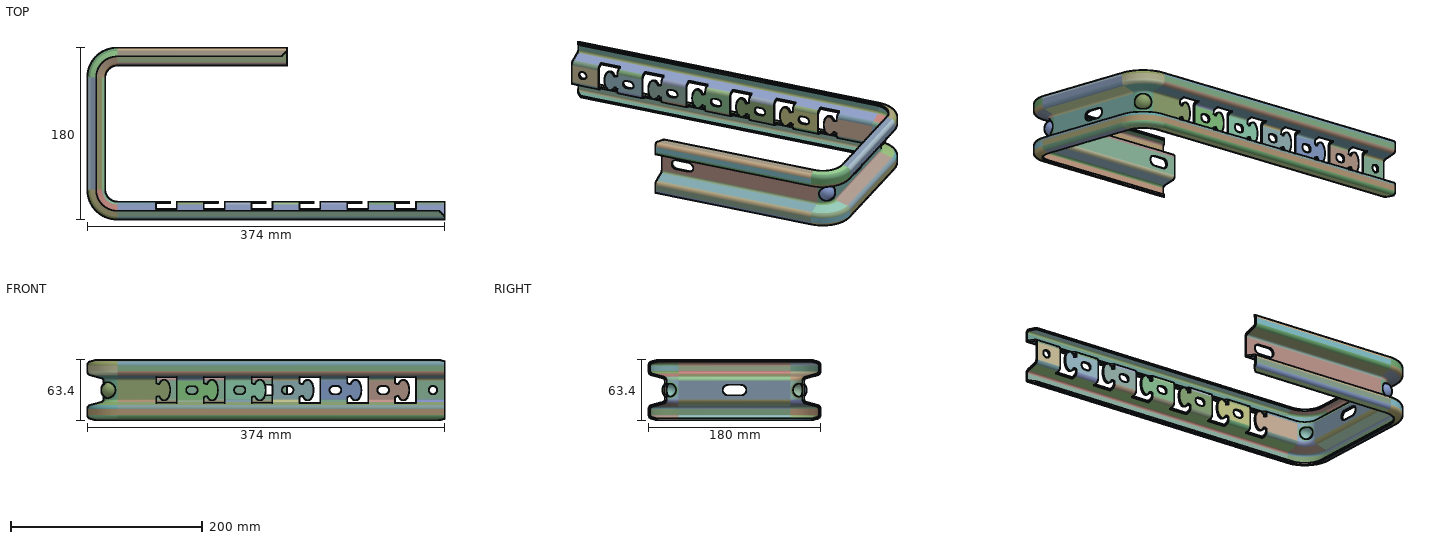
import cadquery as cq
import math

LONG_ARM = 374.0
SHORT_ARM = 209.0
WIDTH = 180.0
HEIGHT = 63.43

SHEET = 2.0
DEPTH = 19.0
INNER_BEND = 2.5
SLOPE = math.radians(15)
LIP_DEPTH = 9.3
FLANK_ROOT_Z = 16.3
LIP_END_BEVEL = 6.0
CROWN_MIDDLE_Z = 23.0

INNER_CORNER = 12.5
OUTER_CORNER = INNER_CORNER + DEPTH

PITCH = 50.0
WINDOW_COUNT = 6
WINDOW_START = 72.0
WINDOW_LENGTH = 21.6
WINDOW_HEIGHT = 36.0
WINDOW_DEPTH = 7.6
TAB_ROOT_HALF = 7.4
TAB_NECK_HALF = 6.3
TAB_NECK_LENGTH = 2.3
TAB_HEAD_CENTRE = 8.5
TAB_HEAD_LENGTH = 12.6
TAB_HEAD_HEIGHT = 21.7

SMALL_SLOT_LENGTH = 12.0
SMALL_SLOT_HEIGHT = 8.5
SMALL_SLOT_SETBACK = 12.5
END_HOLE_SETBACK = 12.5
BIG_SLOT_LENGTH = 24.5
BIG_SLOT_HEIGHT = 10.7
BIG_SLOT_SETBACK = 23.8

DOME_RADIUS = 8.9
DOME_CENTRE = 11.5

CUT = 2 * DEPTH


def corner_shift(before, after, point, offset):
    """Point moved so that both neighbouring edges are offset to their left."""
    normals = []
    for start, end in ((before, point), (point, after)):
        dx = end[0] - start[0]
        dz = end[1] - start[1]
        length = math.hypot(dx, dz)
        normals.append((-dz / length, dx / length))
    (ax, az), (bx, bz) = normals
    scale = offset / (1 + ax * bx + az * bz)
    return (point[0] + (ax + bx) * scale, point[1] + (az + bz) * scale)


def sheet_outline():
    """Corners and bend radii of the closed sheet section as (depth, z)."""
    rise = math.tan(SLOPE)
    lip_z = HEIGHT / 2
    tip = (LIP_DEPTH, lip_z)
    crown_top = (0, lip_z - LIP_DEPTH * rise)
    crown_foot = (0, FLANK_ROOT_Z)
    web_depth = DEPTH - SHEET
    web_top = (web_depth, FLANK_ROOT_Z - web_depth * rise)
    half = [tip, crown_top, crown_foot, web_top]
    face = half + [(d, -z) for d, z in reversed(half)]

    outer_bend = INNER_BEND + SHEET
    face_radii = [0, outer_bend, outer_bend, INNER_BEND]
    back_radii = [0, INNER_BEND, INNER_BEND, outer_bend]
    back = []
    for i in range(1, len(face) - 1):
        back.append(corner_shift(face[i - 1], face[i + 1], face[i], SHEET))
    end_z = back[0][1] + (LIP_DEPTH - back[0][0]) * rise
    back = [(LIP_DEPTH, end_z)] + back + [(LIP_DEPTH, -end_z)]
    corners = face + back[::-1]
    radii = face_radii + face_radii[::-1] + back_radii + back_radii[::-1]
    return list(zip(corners, radii))


def step(origin, target, distance):
    """Point at the given distance from the origin towards the target."""
    length = math.dist(origin, target)
    return tuple(a + (b - a) * distance / length for a, b in zip(origin, target))


def rounded_wire(plane, corners):
    """Closed wire through the corners, each rounded by its own radius; the first is sharp."""
    wire = cq.Workplane(plane).moveTo(*corners[0][0])
    for i in range(1, len(corners)):
        point, radius = corners[i]
        before = corners[i - 1][0]
        after = corners[(i + 1) % len(corners)][0]
        if radius == 0:
            wire = wire.lineTo(*point)
            continue
        to_before = math.atan2(before[1] - point[1], before[0] - point[0])
        to_after = math.atan2(after[1] - point[1], after[0] - point[0])
        half_angle = math.acos(math.cos(to_before - to_after)) / 2
        tangent = radius / math.tan(half_angle)
        start = step(point, before, tangent)
        end = step(point, after, tangent)
        middle = tuple((a + b) / 2 for a, b in zip(start, end))
        gap = radius / math.sin(half_angle) - radius
        wire = wire.lineTo(*start).threePointArc(step(point, middle, gap), end)
    return wire.close()


def section(origin, inward):
    """Sheet section with its depth running along the inward direction."""
    normal = cq.Vector(*inward).cross(cq.Vector(0, 0, 1))
    plane = cq.Plane(origin=origin, xDir=inward, normal=normal)
    return rounded_wire(plane, sheet_outline())


def mirrored(body):
    """Body reflected about the middle of the U."""
    return body.mirror("XZ", (0, WIDTH / 2, 0))


def make_channel():
    """Two arms, the back and two revolved corners of constant section."""
    front = section((OUTER_CORNER, 0, 0), (0, 1, 0)).extrude(LONG_ARM - OUTER_CORNER)
    rear = section((OUTER_CORNER, WIDTH, 0), (0, -1, 0)).extrude(OUTER_CORNER - SHORT_ARM)
    corner_face = ((0, OUTER_CORNER, 0), (1, 0, 0))
    back = section(*corner_face).extrude(2 * OUTER_CORNER - WIDTH)
    corner_axis = ((OUTER_CORNER, 0, 0), (OUTER_CORNER, 1, 0))
    front_corner = section(*corner_face).revolve(90, *corner_axis)
    rear_corner = mirrored(front_corner)
    return front.union(front_corner).union(back).union(rear_corner).union(rear)


def lip_bevels(arm_length):
    """Plan bevels at the free ends of both lips of the arm at Y = 0."""
    bevel = (
        cq.Workplane("XY", origin=(0, 0, -HEIGHT))
        .moveTo(arm_length, LIP_DEPTH - LIP_END_BEVEL)
        .lineTo(arm_length, LIP_DEPTH)
        .lineTo(arm_length - LIP_END_BEVEL, LIP_DEPTH)
        .close()
        .extrude(2 * HEIGHT)
    )
    flank_space = cq.Workplane("XY").box(2 * arm_length, WIDTH, 2 * CROWN_MIDDLE_Z)
    return bevel.cut(flank_space)


def web_window():
    """Cutter for one window, leaving its headed tab standing in the web."""
    opening = cq.Workplane("XY").box(
        WINDOW_LENGTH, WINDOW_DEPTH, WINDOW_HEIGHT, centered=(False, False, True)
    )
    neck = (
        cq.Workplane("XZ")
        .moveTo(0, -TAB_ROOT_HALF)
        .lineTo(TAB_NECK_LENGTH, -TAB_NECK_HALF)
        .lineTo(TAB_HEAD_CENTRE, -TAB_NECK_HALF)
        .lineTo(TAB_HEAD_CENTRE, TAB_NECK_HALF)
        .lineTo(TAB_NECK_LENGTH, TAB_NECK_HALF)
        .lineTo(0, TAB_ROOT_HALF)
        .close()
        .extrude(-WINDOW_DEPTH)
    )
    head = (
        cq.Workplane("XZ")
        .center(TAB_HEAD_CENTRE, 0)
        .ellipse(TAB_HEAD_LENGTH / 2, TAB_HEAD_HEIGHT / 2)
        .extrude(-WINDOW_DEPTH)
    )
    tab_depth = cq.Workplane("XY", origin=(0, WINDOW_DEPTH - SHEET, 0)).box(
        WINDOW_LENGTH, SHEET, WINDOW_HEIGHT, centered=(False, False, True)
    )
    tab = neck.union(head).intersect(tab_depth)
    return opening.cut(tab)


def windows():
    """Row of window cutters along the long arm."""
    window = web_window()
    cutters = cq.Workplane("XY")
    for i in range(WINDOW_COUNT):
        place = (WINDOW_START + i * PITCH, DEPTH - WINDOW_DEPTH, 0)
        cutters = cutters.add(window.translate(place))
    return cutters.combine()


def long_arm_holes():
    """One slot between each pair of windows and a round hole at the free end."""
    slot_x = [WINDOW_START + i * PITCH - SMALL_SLOT_SETBACK for i in range(1, WINDOW_COUNT)]
    slots = (
        cq.Workplane("XZ")
        .pushPoints([(x, 0) for x in slot_x])
        .slot2D(SMALL_SLOT_LENGTH, SMALL_SLOT_HEIGHT)
        .extrude(-CUT)
    )
    end_hole = (
        cq.Workplane("XZ")
        .center(LONG_ARM - END_HOLE_SETBACK, 0)
        .circle(SMALL_SLOT_HEIGHT / 2)
        .extrude(-CUT)
    )
    return slots.union(end_hole)


def big_slots():
    """Slots through the middle of the back and near the short arm's free end."""
    back_slot = (
        cq.Workplane("YZ")
        .center(WIDTH / 2, 0)
        .slot2D(BIG_SLOT_LENGTH, BIG_SLOT_HEIGHT)
        .extrude(CUT)
    )
    arm_slot = (
        cq.Workplane("XZ", origin=(0, WIDTH, 0))
        .center(SHORT_ARM - BIG_SLOT_SETBACK, 0)
        .slot2D(BIG_SLOT_LENGTH, BIG_SLOT_HEIGHT)
        .extrude(CUT)
    )
    return back_slot.union(arm_slot)


def add_domes(body):
    """Press a hollow dome outwards through the web at both corners."""
    offset = OUTER_CORNER - DOME_CENTRE * math.sin(math.radians(45))
    outside = cq.Workplane("XY").sphere(DOME_RADIUS).translate((offset, offset, 0))
    inside = cq.Workplane("XY").sphere(DOME_RADIUS - SHEET).translate((offset, offset, 0))
    behind_web = cq.Workplane("XY", origin=(OUTER_CORNER, OUTER_CORNER, 0)).cylinder(
        HEIGHT, INNER_CORNER
    )
    outside = outside.cut(behind_web)
    body = body.union(outside).union(mirrored(outside))
    return body.cut(inside).cut(mirrored(inside))


def make_bracket():
    body = make_channel()
    body = body.cut(lip_bevels(LONG_ARM)).cut(mirrored(lip_bevels(SHORT_ARM)))
    body = body.cut(windows()).cut(long_arm_holes()).cut(big_slots())
    return add_domes(body)


result = make_bracket()